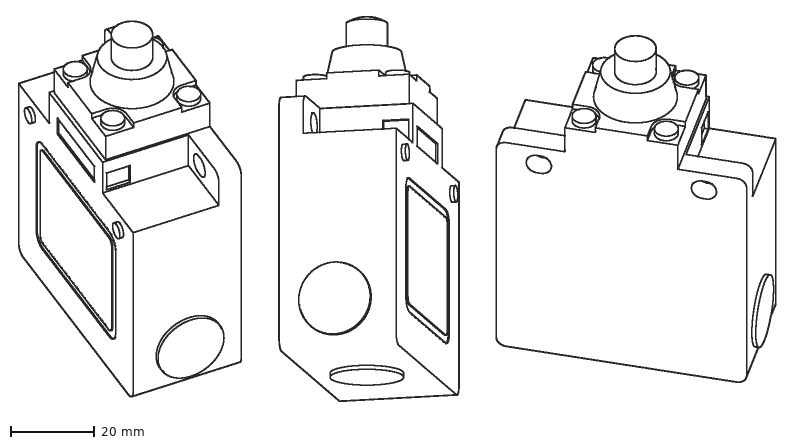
import cadquery as cq


overall_width = 64.0
overall_depth = 30.0
overall_height = 88.5
boss_height = 1.0
head_side = 28.0
head_top = 71.2
plunger_top = overall_height - boss_height

case_width = overall_width - 2 * boss_height
case_depth = overall_depth - boss_height
case_top = 62.5
case_corner_radius = 2.5
case_back = head_side / 2
case_front = case_back - case_depth
shoulder_z = 52.8
flange_thickness = 6.0
neck_width = 29.0

slot_spacing = 40.9
slot_z = 57.35
slot_length = 6.2
slot_height = 5.3

front_recess_depth = 0.4
side_recess_depth = 1.0
front_recess_width = 20.1
front_recess_top = 57.8
side_recess_length = 6.4
side_recess_bottom = 53.45
side_recess_top = 58.7

cover_thickness = 1.1
cover_bottom = 5.5
tab_bottom = 2.2
tab_inner_x = 16.55
tab_outer_x = 23.9
lip_thickness = 1.4
lip_top = 46.6
cover_screw_spacing = 47.8
cover_screw_z = 48.4
cover_screw_diameter = 4.0

groove_width = 43.1
groove_height = 32.9
groove_corner_radius = 3.5
panel_width = 38.8
panel_height = 29.0
panel_corner_radius = 1.6
panel_z = 26.9
groove_depth = 0.3

knockout_diameter = 17.7
knockout_z = 11.7

head_screw_offset = 10.2
head_screw_diameter = 5.75
corner_recess_depth = 1.4
corner_recess_side = 7.5
corner_recess_radius = corner_recess_side - (head_side / 2 - head_screw_offset)

collar_bottom_diameter = 20.2
collar_top_diameter = 16.7
collar_top = 78.9
plunger_diameter = 10.0
plunger_radius = plunger_diameter / 2
plunger_edge_z = 86.0


def block(x_range, y_range, z_range):
    """Box between the given limits on each axis."""
    (x0, x1), (y0, y1), (z0, z1) = x_range, y_range, z_range
    return cq.Workplane("XY").box(x1 - x0, y1 - y0, z1 - z0, centered=False).translate((x0, y0, z0))


def front_plane(y):
    """Sketch plane at depth y whose normal points out of the front."""
    return cq.Workplane("XZ", origin=(0, y, 0))


def add_flush(body, piece):
    """Set a piece into the body, keeping the seam around it."""
    return body.cut(piece, clean=False).union(piece, clean=False)


def make_case():
    half_width = case_width / 2
    half_neck = neck_width / 2
    case = block((-half_width, half_width), (case_front, case_back), (0, case_top))
    case = case.edges("|Y").fillet(case_corner_radius)
    notch_y = (case_front, case_back - flange_thickness)
    for x_range in ((-half_width, -half_neck), (half_neck, half_width)):
        case = case.cut(block(x_range, notch_y, (shoulder_z, case_top)))
    slots = (
        front_plane(case_back)
        .pushPoints([(-slot_spacing / 2, slot_z), (slot_spacing / 2, slot_z)])
        .slot2D(slot_length, slot_height)
        .extrude(flange_thickness)
    )
    return case.cut(slots)


def make_neck_recesses():
    half_recess = front_recess_width / 2
    recesses = block(
        (-half_recess, half_recess),
        (case_front, case_front + front_recess_depth),
        (shoulder_z, front_recess_top),
    )
    side_y = case_front + cover_thickness
    side_recess_y = (side_y, side_y + side_recess_length)
    side_recess_z = (side_recess_bottom, side_recess_top)
    half_neck = neck_width / 2
    for x_range in ((-half_neck, side_recess_depth - half_neck), (half_neck - side_recess_depth, half_neck)):
        recesses = recesses.union(block(x_range, side_recess_y, side_recess_z))
    return recesses


def make_cover():
    half_width = case_width / 2
    return (
        front_plane(case_front + cover_thickness)
        .moveTo(-half_width, shoulder_z)
        .lineTo(-half_width, cover_bottom)
        .lineTo(-tab_outer_x, cover_bottom)
        .lineTo(-tab_outer_x, tab_bottom)
        .lineTo(-tab_inner_x, tab_bottom)
        .lineTo(-tab_inner_x, cover_bottom)
        .lineTo(tab_inner_x, cover_bottom)
        .lineTo(tab_inner_x, tab_bottom)
        .lineTo(tab_outer_x, tab_bottom)
        .lineTo(tab_outer_x, cover_bottom)
        .lineTo(half_width, cover_bottom)
        .lineTo(half_width, shoulder_z)
        .close()
        .extrude(cover_thickness)
    )


def make_cover_lip():
    lip_front = case_front + cover_thickness
    return block(
        (-case_width / 2, case_width / 2),
        (lip_front, lip_front + lip_thickness),
        (cover_bottom, lip_top),
    )


def make_panel_groove():
    def rounded_plate(width, height, radius):
        plate = front_plane(case_front + groove_depth).center(0, panel_z).rect(width, height)
        return plate.extrude(groove_depth).edges("|Y").fillet(radius)

    outer = rounded_plate(groove_width, groove_height, groove_corner_radius)
    return outer.cut(rounded_plate(panel_width, panel_height, panel_corner_radius))


def make_cover_screws():
    half_spacing = cover_screw_spacing / 2
    return (
        front_plane(case_front)
        .pushPoints([(-half_spacing, cover_screw_z), (half_spacing, cover_screw_z)])
        .circle(cover_screw_diameter / 2)
        .extrude(boss_height)
    )


def make_knockouts():
    radius = knockout_diameter / 2
    knockouts = cq.Workplane("XY").circle(radius).extrude(-boss_height)
    for side in (-1, 1):
        plane = cq.Workplane("YZ", origin=(side * case_width / 2, 0, knockout_z))
        knockouts = knockouts.union(plane.circle(radius).extrude(side * boss_height))
    return knockouts


def make_head():
    half_side = head_side / 2
    head = block((-half_side, half_side), (-half_side, half_side), (case_top, head_top))
    recess_z = head_top - corner_recess_depth
    recess_centre = half_side - corner_recess_side / 2
    for x_side in (-1, 1):
        for y_side in (-1, 1):
            recess = (
                cq.Workplane("XY", origin=(x_side * recess_centre, y_side * recess_centre, recess_z))
                .rect(corner_recess_side, corner_recess_side)
                .extrude(corner_recess_depth)
                .edges(cq.NearestToPointSelector((0, 0, head_top - corner_recess_depth / 2)))
                .fillet(corner_recess_radius)
            )
            screw = (
                cq.Workplane("XY", origin=(x_side * head_screw_offset, y_side * head_screw_offset, recess_z))
                .circle(head_screw_diameter / 2)
                .extrude(corner_recess_depth)
            )
            head = head.cut(recess).union(screw)
    return head


def make_plunger():
    """Tapered collar and domed plunger as one turned shape."""
    dome_rise = plunger_top - plunger_edge_z
    dome_radius = (plunger_radius**2 + dome_rise**2) / (2 * dome_rise)
    dome_centre_z = plunger_top - dome_radius
    mid_radius = plunger_radius / 2
    mid_z = dome_centre_z + (dome_radius**2 - mid_radius**2) ** 0.5
    return (
        cq.Workplane("XZ")
        .moveTo(0, head_top)
        .lineTo(collar_bottom_diameter / 2, head_top)
        .lineTo(collar_top_diameter / 2, collar_top)
        .lineTo(plunger_radius, collar_top)
        .lineTo(plunger_radius, plunger_edge_z)
        .threePointArc((mid_radius, mid_z), (0, plunger_top))
        .close()
        .revolve(360, (0, 0, 0), (0, 1, 0))
    )


body = make_case().cut(make_neck_recesses())
body = body.union(make_head()).union(make_knockouts()).union(make_plunger())
body = add_flush(body, make_cover())
body = add_flush(body, make_cover_lip())
body = body.cut(make_panel_groove(), clean=False)
result = body.union(make_cover_screws(), clean=False)